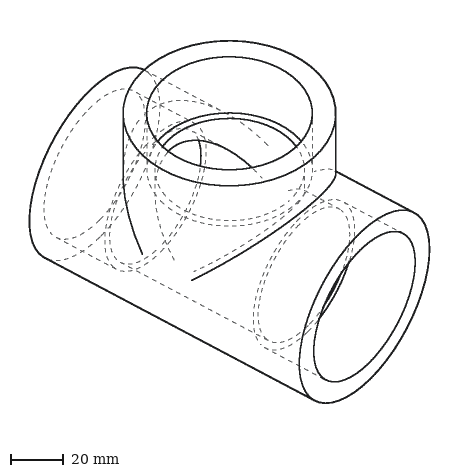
import cadquery as cq

run_length = 130.0
overall_height = 104.0
outer_diameter = 81.0
bore_diameter = 57.0
socket_diameter = 63.0
socket_depth = 29.2

half_run = run_length / 2
branch_height = overall_height - outer_diameter / 2


def run_cylinder(diameter, start, length):
    """Cylinder on the run axis, from X = start."""
    return cq.Workplane("YZ", origin=(start, 0, 0)).circle(diameter / 2).extrude(length)


def branch_cylinder(diameter, start, length):
    """Cylinder on the branch axis, from Z = start."""
    return cq.Workplane("XY", origin=(0, 0, start)).circle(diameter / 2).extrude(length)


run_body = run_cylinder(outer_diameter, -half_run, run_length)
branch_body = branch_cylinder(outer_diameter, 0, branch_height)
body = run_body.union(branch_body)

body = body.cut(run_cylinder(bore_diameter, -half_run, run_length))
body = body.cut(branch_cylinder(bore_diameter, 0, branch_height))

for socket_start in (-half_run, half_run - socket_depth):
    body = body.cut(run_cylinder(socket_diameter, socket_start, socket_depth))
body = body.cut(branch_cylinder(socket_diameter, branch_height - socket_depth, socket_depth))

result = body